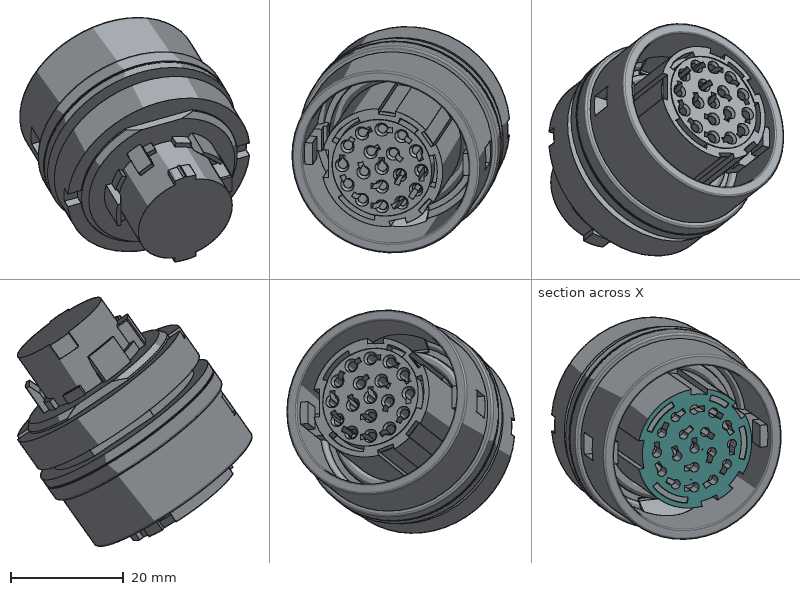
import cadquery as cq


length = 39.0
insert_radius = 18.0 / 2

outer_contact_count = 12
outer_contact_circle = 7.18
inner_contact_count = 5
inner_contact_circle = 3.47
contact_radius = 0.8
mouth_radius = 1.2
mouth_depth = 0.6
contact_depth = 4.68
wire_slot_width = 0.95
wire_slot_reach = 1.9

tube_start = 0.15
tube_radius = 22.0 / 2
pocket_radius = 10.02
pocket_depth = 2.35
pockets = [(30, 11), (90, 18), (-45, 19.5), (-150, 22)]
keyway_floor_radius = 10.02
keyway_lead_length = 1.45
keyway_width = 3.05
wide_keyway_width = 5.15
keyway_lead_radius = 9.9
wide_keyway_lead_radius = 9.7
keyways = [
    (5, keyway_width, keyway_lead_radius),
    (54.5, keyway_width, keyway_lead_radius),
    (130, keyway_width, keyway_lead_radius),
    (164, keyway_width, keyway_lead_radius),
    (-90, wide_keyway_width, wide_keyway_lead_radius),
]

sleeve_start = 3.15
sleeve_radius = 34.0 / 2
sleeve_rounding = 0.3
bore_radius = 30.2 / 2
bore_rounding = 0.25
flange_start = 14.0
flange_end = 18.7
flange_radius = 36.0 / 2
flange_rounding = 0.4
groove_start = 16.8
groove_width = 0.25
groove_depth = 0.2

floor_x = 16.38
floor_radius = 14.05
floor_rounding = bore_radius - floor_radius
seal_radius = 0.98
seal_circle_radius = 11.95
seal_x = 16.0

ramp_width = 10.15
ramp_start = 12.32
ramp_end = 15.9
ramp_end_height = 12.87
ramp_foot_height = 12.4
window_start = 8.6
window_end = 12.6
window_width = 4.05
stop_start = 4.95
stop_inner_height = 13.6
stop_step_x = 14.43
stop_step_height = 13.03

neck_radius = 14.95
neck_end = 28.1
neck_flat_height = 13.5
neck_chamfer_length = 1.1
neck_chamfer_height = 0.95
ring_start = 20.55
ring_end = 26.68
ring_radius = 35.0 / 2
ring_slot_width = 3.05
ring_slot_length = 1.6

collar_radius = 9.95
collar_end = 29.9
collar_gap_angles = [0, 45, 135, 180]
collar_gap_half_angle = 11.5
finger_end = 33.6
finger_taper_start = 31.47
finger_inner_height = 9.3
finger_tip_height = 10.1
finger_width = 5.15
narrow_finger_width = 2.95
lower_finger_width = 6.1
fingers = [
    (30, narrow_finger_width),
    (90, finger_width),
    (-45, finger_width),
    (-150, lower_finger_width),
]
guide_end = 33.85
guide_width = 4.05
guide_height = 11.1
guide_chamfer = 0.25

key_start = 35.95
key_radius = 10.0
key_width = 4.05
rib_height = 10.35
rib_width = 0.65

overlap = 0.4


def turn(solid, clock_angle):
    return solid.rotate((0, 0, 0), (1, 0, 0), clock_angle)


def cylinder(radius, start, end):
    return cq.Workplane("YZ").workplane(offset=start).circle(radius).extrude(end - start)


def tube(inner_radius, outer_radius, start, end):
    return cylinder(outer_radius, start, end).cut(cylinder(inner_radius, start, end))


def sector(inner_radius, outer_radius, start, end, clock_angle, half_angle):
    """Part of a tube, centred on a clock angle."""
    profile = (
        cq.Workplane("XY")
        .moveTo(start, inner_radius)
        .lineTo(end, inner_radius)
        .lineTo(end, outer_radius)
        .lineTo(start, outer_radius)
        .close()
    )
    segment = profile.revolve(2 * half_angle, (0, 0, 0), (1, 0, 0))
    return turn(segment, 90 + clock_angle - half_angle)


def block(start, end, width, bottom, top):
    """Straight-sided block above the axis."""
    solid = cq.Workplane("XY").box(end - start, width, top - bottom, centered=(False, True, False))
    return solid.translate((start, 0, bottom))


def profile_block(points, width):
    """Outline in X and Z, extruded evenly to both sides along Y."""
    return cq.Workplane("XZ").polyline(points).close().extrude(width / 2, both=True)


def make_sleeve():
    """Sleeve and flange with the open front cavity."""
    shell = cylinder(sleeve_radius, sleeve_start, flange_start + overlap)
    shell = shell.faces("<X").edges().fillet(sleeve_rounding)
    flange = cylinder(flange_radius, flange_start, flange_end)
    flange = flange.faces("<X").edges().fillet(flange_rounding)
    groove_end = groove_start + groove_width
    groove = tube(flange_radius - groove_depth, flange_radius + overlap, groove_start, groove_end)
    cavity = (
        cq.Workplane("XY")
        .moveTo(sleeve_start, 0)
        .lineTo(sleeve_start, bore_radius + bore_rounding)
        .radiusArc((sleeve_start + bore_rounding, bore_radius), -bore_rounding)
        .lineTo(floor_x - floor_rounding, bore_radius)
        .radiusArc((floor_x, floor_radius), -floor_rounding)
        .lineTo(floor_x, 0)
        .close()
        .revolve(360, (0, 0, 0), (1, 0, 0))
    )
    return shell.union(flange).cut(groove).cut(cavity)


def make_neck():
    """Neck with two flats and the coupling ring around it."""
    neck = cylinder(neck_radius, floor_x, neck_end)
    neck = neck.faces(">X").edges().chamfer(neck_chamfer_length, neck_chamfer_height)
    flats = cq.Workplane("XY").box(2 * length, 2 * neck_radius, 2 * neck_flat_height)
    ring = cylinder(ring_radius, ring_start, ring_end)
    slot_start = ring_end - ring_slot_length
    slot = block(slot_start, ring_end, ring_slot_width, neck_radius - overlap, ring_radius + overlap)
    for side in (90, -90):
        ring = ring.cut(turn(slot, side))
    return neck.intersect(flats).union(ring)


def make_seal():
    """Round ring lying on the cavity floor around the plug tube."""
    section = cq.Workplane("XY").moveTo(seal_x, seal_circle_radius).circle(seal_radius)
    return section.revolve(360, (0, 0, 0), (1, 0, 0))


def make_ramp():
    """Sloping pad between the bore wall and the cavity floor."""
    outline = [
        (ramp_start, bore_radius),
        (ramp_end, ramp_end_height),
        (ramp_end, ramp_foot_height),
        (floor_x + overlap, ramp_foot_height),
        (floor_x + overlap, bore_radius),
    ]
    limit = cylinder(bore_radius + overlap, ramp_start, floor_x + overlap)
    return profile_block(outline, ramp_width).intersect(limit)


def make_stop():
    """Stop on the bore wall, with a step before the cavity floor."""
    end = floor_x + overlap
    top = bore_radius + overlap
    bar = block(stop_start, end, window_width, stop_inner_height, top)
    return bar.union(block(stop_step_x, end, window_width, stop_step_height, top))


def make_window():
    return block(window_start, window_end, window_width, tube_radius + overlap, sleeve_radius + overlap)


def make_plug_tube():
    """Tube with outer keyways and inner pockets around the insert."""
    body = tube(insert_radius, tube_radius, tube_start, floor_x)
    lead_end = tube_start + keyway_lead_length
    pocket_end = tube_start + pocket_depth
    for clock_angle, width, lead_height in keyways:
        keyway = block(tube_start, floor_x, width, insert_radius, tube_radius + overlap)
        keyway = keyway.cut(cylinder(keyway_floor_radius, tube_start, floor_x))
        lead = block(tube_start, lead_end, width, lead_height, tube_radius + overlap)
        body = body.cut(turn(keyway.union(lead), clock_angle))
    for clock_angle, half_angle in pockets:
        pocket = sector(insert_radius, pocket_radius, tube_start, pocket_end, clock_angle, half_angle)
        body = body.cut(pocket)
    return body


def make_contact_cavity():
    """Flared hole on the axis with a wire slot toward +Z."""
    hole = cylinder(contact_radius, 0, contact_depth)
    mouth = (
        cq.Workplane("XY")
        .polyline([(0, 0), (0, mouth_radius), (mouth_depth, contact_radius), (mouth_depth, 0)])
        .close()
        .revolve(360, (0, 0, 0), (1, 0, 0))
    )
    slot = block(0, contact_depth, wire_slot_width, 0, wire_slot_reach)
    return hole.union(mouth).union(slot)


def make_insert():
    """Insert and rear barrel in one, with the contact cavities in the front face."""
    cavity = make_contact_cavity()
    body = cylinder(insert_radius, 0, length).cut(cavity)
    circles = [
        (outer_contact_count, outer_contact_circle, 0),
        (inner_contact_count, inner_contact_circle, 180 / inner_contact_count),
    ]
    for count, circle_radius, first_angle in circles:
        for index in range(count):
            clock_angle = first_angle + index * 360 / count
            tangential = turn(cavity, 90).translate((0, 0, circle_radius))
            body = body.cut(turn(tangential, clock_angle))
    return body


def make_collar():
    collar = tube(insert_radius - overlap, collar_radius, neck_end - overlap, collar_end)
    for clock_angle in collar_gap_angles:
        gap = sector(
            insert_radius - 2 * overlap,
            collar_radius + overlap,
            neck_end,
            collar_end,
            clock_angle,
            collar_gap_half_angle,
        )
        collar = collar.cut(gap)
    return collar


def make_finger(width):
    """Latch finger with a rounded back and a tip tapered on the inside."""
    outline = [
        (neck_end - overlap, finger_inner_height),
        (finger_taper_start, finger_inner_height),
        (finger_end, finger_tip_height),
        (finger_end, tube_radius),
        (neck_end - overlap, tube_radius),
    ]
    return profile_block(outline, width).intersect(cylinder(tube_radius, neck_end - overlap, finger_end))


def make_guide():
    """Straight bar between the latch fingers, chamfered at the back and the end along one side."""
    bar = block(neck_end - overlap, guide_end, guide_width, insert_radius - overlap, guide_height)
    return bar.edges("(|X and >Z) or (|Z and >X)").chamfer(guide_chamfer)


def make_key():
    bar = block(key_start, length, key_width, insert_radius - overlap, key_radius)
    return bar.intersect(cylinder(key_radius, key_start, length))


def make_rib():
    """Small pointed rib along the top key."""
    outline = [(-rib_width / 2, insert_radius), (-rib_width / 2, key_radius), (0, rib_height)]
    outline += [(rib_width / 2, key_radius), (rib_width / 2, insert_radius)]
    section = cq.Workplane("YZ").workplane(offset=key_start).polyline(outline).close()
    return section.extrude(length - key_start)


body = make_sleeve().union(make_neck())

for clock_angle in (0, 180):
    body = body.union(turn(make_ramp(), clock_angle))

for clock_angle in (90, -90):
    body = body.union(turn(make_stop(), clock_angle))
    body = body.cut(turn(make_window(), clock_angle))

body = body.union(make_seal())
body = body.union(make_plug_tube()).union(make_collar())
for clock_angle, width in fingers:
    body = body.union(turn(make_finger(width), clock_angle))
body = body.union(turn(make_guide(), -90))

body = body.cut(cylinder(insert_radius, 0, floor_x)).union(make_insert())
for clock_angle in (0, 180):
    body = body.union(turn(make_key(), clock_angle))

result = body.union(make_rib())